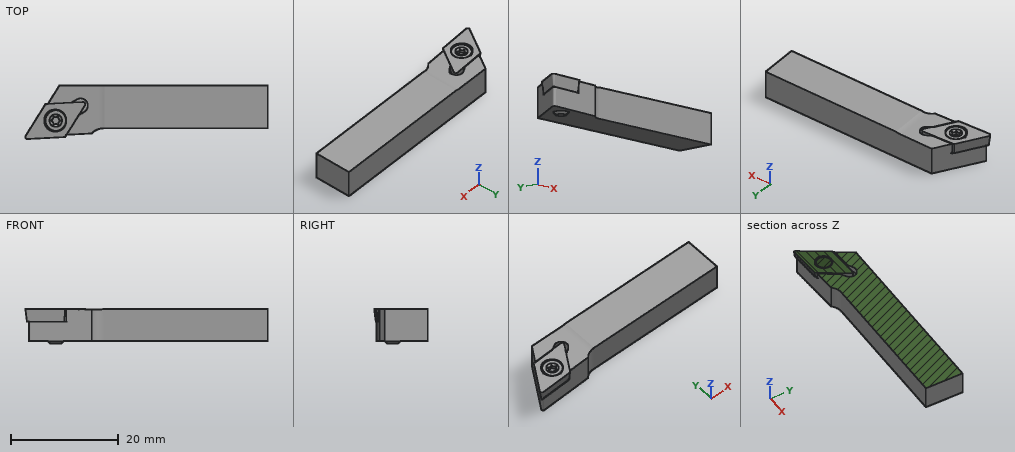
import cadquery as cq
import math

overall_length = 45.0
overall_width = 10.0
shank_width = 8.0
shank_height = 6.0
head_drop = 0.15
head_top = shank_height - head_drop
ramp_start_x = 13.6
ramp_end_x = 14.65
neck_start_x = 12.35
neck_end_x = 14.5

insert_width = 6.35
insert_thickness = 2.4
tip_angle = 55.0
lead_angle = 3.0
relief_angle = 7.0
tip_radius = 0.4
seat_z = shank_height - insert_thickness

half_angle = math.radians(tip_angle / 2)
axis_angle = lead_angle + tip_angle / 2
axis_radians = math.radians(axis_angle)
lead_slope = math.tan(math.radians(lead_angle))
tip_center_distance = (insert_width / 2 - tip_radius) / math.sin(half_angle)
insert_x = tip_center_distance * math.cos(axis_radians) + tip_radius
insert_y = tip_center_distance * math.sin(axis_radians) + tip_radius - overall_width

front_setback = 0.4
head_back_x = 6.35
head_tip_radius = 0.35

slot_radius = 1.35
slot_center_distance = 5.45

screw_x = insert_x + 0.1
screw_y = insert_y
thread_radius = 1.5
screw_end_radius = 1.0
screw_protrusion = 0.5
screw_head_radius = 1.9
screw_head_height = 1.1
screw_head_top = shank_height - 0.15
socket_cone_radius = 1.15
socket_cone_depth = 0.25
socket_depth = 0.9
socket_lobes = 6
socket_tip_radius = 0.9
socket_valley_radius = 0.65
insert_hole_radius = 1.6
countersink_radius = 2.05


def insert_plane(z):
    """Level plane centred on the insert, with its X axis along the long diagonal."""
    return cq.Plane((insert_x, insert_y, z)).rotated((0, 0, axis_angle))


def rounded_rhombus(width, radius, z):
    """Wire of a rhombus with the given width across its edges and rounded acute corners."""
    half_short = width / 2 / math.cos(half_angle)
    arc_center = (width / 2 - radius) / math.sin(half_angle)
    arc_end_x = arc_center + radius * math.sin(half_angle)
    arc_end_y = radius * math.cos(half_angle)
    arc_tip_x = arc_center + radius
    outline = (
        cq.Workplane(insert_plane(z))
        .moveTo(arc_end_x, -arc_end_y)
        .threePointArc((arc_tip_x, 0), (arc_end_x, arc_end_y))
        .lineTo(0, half_short)
        .lineTo(-arc_end_x, arc_end_y)
        .threePointArc((-arc_tip_x, 0), (-arc_end_x, -arc_end_y))
        .lineTo(0, -half_short)
        .close()
    )
    return outline.wires().val()


def shaft(radius, z_bottom, z_top, x, y):
    """Upright cylinder between two heights."""
    return cq.Workplane(cq.Plane((x, y, z_bottom))).circle(radius).extrude(z_top - z_bottom)


def cone(bottom_radius, top_radius, z_bottom, z_top, x, y):
    """Upright cone frustum between two heights."""
    return cq.Workplane(cq.Solid.makeCone(
        bottom_radius, top_radius, z_top - z_bottom, cq.Vector(x, y, z_bottom), cq.Vector(0, 0, 1)))


def make_holder():
    front_y = (insert_y - insert_x * lead_slope
               - (insert_width / 2 - front_setback) / math.cos(math.radians(lead_angle)))
    side_run = 1 / math.tan(math.radians(lead_angle + tip_angle))
    tip_x = (head_back_x + front_y * side_run) / (1 - lead_slope * side_run)
    tip_y = front_y + tip_x * lead_slope
    neck_start = (neck_start_x, front_y + neck_start_x * lead_slope)
    neck_end = (neck_end_x, -shank_width)

    neck_dx = neck_end[0] - neck_start[0]
    neck_dy = neck_end[1] - neck_start[1]
    neck_radius = (neck_dx**2 + neck_dy**2) / (2 * neck_dy)
    neck_half_turn = math.asin(neck_dx / neck_radius) / 2
    neck_middle = (neck_end_x - neck_radius * math.sin(neck_half_turn),
                   -shank_width - neck_radius * (1 - math.cos(neck_half_turn)))

    holder = (
        cq.Workplane("XY")
        .moveTo(tip_x, tip_y)
        .lineTo(*neck_start)
        .threePointArc(neck_middle, neck_end)
        .lineTo(overall_length, -shank_width)
        .lineTo(overall_length, 0)
        .lineTo(head_back_x, 0)
        .close()
        .extrude(shank_height)
    )
    tip_edge = cq.selectors.NearestToPointSelector((tip_x, tip_y, shank_height / 2))
    holder = holder.edges(tip_edge).fillet(head_tip_radius)

    ramp_length = ramp_end_x - ramp_start_x
    ramp_radius = (ramp_length**2 + head_drop**2) / (2 * head_drop)
    ramp_half_turn = math.asin(ramp_length / ramp_radius) / 2
    ramp_middle = (ramp_start_x + ramp_radius * math.sin(ramp_half_turn),
                   head_top + ramp_radius * (1 - math.cos(ramp_half_turn)))
    head_relief = (
        cq.Workplane("XZ")
        .moveTo(0, head_top)
        .lineTo(ramp_start_x, head_top)
        .threePointArc(ramp_middle, (ramp_end_x, shank_height))
        .lineTo(0, shank_height)
        .close()
        .extrude(overall_width)
    )

    pocket_outline = rounded_rhombus(insert_width, tip_radius, seat_z)
    pocket = cq.Workplane(cq.Solid.extrudeLinear(pocket_outline, [], cq.Vector(0, 0, insert_thickness)))
    tip_slot = (
        cq.Workplane(insert_plane(seat_z))
        .center(slot_center_distance / 2, 0)
        .slot2D(slot_center_distance + 2 * slot_radius, 2 * slot_radius)
        .extrude(insert_thickness)
    )
    screw_hole = shaft(thread_radius, 0, seat_z, screw_x, screw_y)
    return holder.cut(head_relief).cut(pocket).cut(tip_slot).cut(screw_hole)


def make_insert():
    relief = insert_thickness * math.tan(math.radians(relief_angle))
    bottom_outline = rounded_rhombus(insert_width - 2 * relief, tip_radius - relief, seat_z)
    top_outline = rounded_rhombus(insert_width, tip_radius, shank_height)
    insert = cq.Workplane(cq.Solid.makeLoft([bottom_outline, top_outline], True))

    hole = shaft(insert_hole_radius, seat_z, shank_height, insert_x, insert_y)
    countersink = cone(insert_hole_radius, countersink_radius,
                       screw_head_top - screw_head_height, shank_height, insert_x, insert_y)
    return insert.cut(hole).cut(countersink)


def make_screw():
    head_bottom = screw_head_top - screw_head_height
    screw = shaft(thread_radius, 0, head_bottom, screw_x, screw_y)
    screw = screw.union(cone(thread_radius, screw_head_radius, head_bottom, screw_head_top, screw_x, screw_y))
    screw = screw.union(cone(screw_end_radius, thread_radius, -screw_protrusion, 0, screw_x, screw_y))

    lead_in = cone(socket_valley_radius, socket_cone_radius,
                   screw_head_top - socket_cone_depth, screw_head_top, screw_x, screw_y)
    star = (
        cq.Workplane(cq.Plane((screw_x, screw_y, screw_head_top - socket_depth)))
        .moveTo(socket_tip_radius, 0)
    )
    half_pitch = math.pi / socket_lobes
    for lobe in range(socket_lobes):
        valley_angle = (2 * lobe + 1) * half_pitch
        next_tip_angle = valley_angle + half_pitch
        valley = (socket_valley_radius * math.cos(valley_angle),
                  socket_valley_radius * math.sin(valley_angle))
        next_tip = (socket_tip_radius * math.cos(next_tip_angle),
                    socket_tip_radius * math.sin(next_tip_angle))
        star = star.threePointArc(valley, next_tip)
    star = star.close().extrude(socket_depth)
    return screw.cut(lead_in).cut(star)


holder = make_holder()
insert = make_insert()
screw = make_screw()

result = cq.Compound.makeCompound([
    holder.solids().val(),
    insert.solids().val(),
    screw.solids().val(),
])